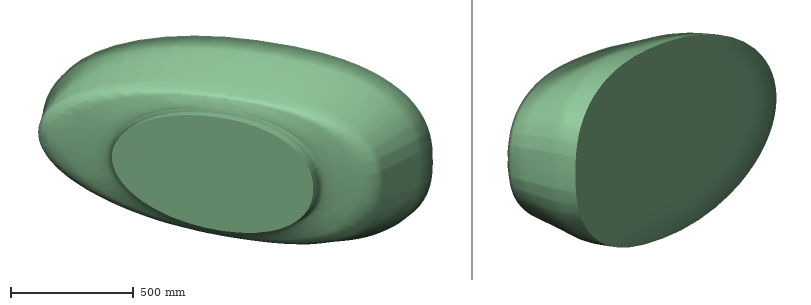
import cadquery as cq
import math

height = 480.0

rim_length = 1688.87
rim_width = 818.8
rim_widest_from_left = 950.0
rim_left = -rim_length / 2
rim_right = rim_length / 2
rim_widest = rim_left + rim_widest_from_left
rim_right_exponent = 2.5

foot_length = 897.0
foot_width = 498.0
foot_setback = 464.0
foot_widest_from_left = 478.0
foot_left = rim_left + foot_setback
foot_right = foot_left + foot_length
foot_widest = foot_left + foot_widest_from_left
foot_right_exponent = 2.2

points_per_half = 24

wall_stations = [
    (height, 0.0),
    (440.0, 0.9),
    (400.0, 2.5),
    (360.0, 8.5),
    (310.0, 23.0),
    (255.0, 41.5),
    (200.0, 58.5),
    (155.0, 71.5),
    (128.0, 80.5),
]

belly_inset = 88.0
belly_stations = [
    (112.0, 0.02),
    (101.0, 0.08),
    (92.0, 0.16),
    (83.0, 0.33),
    (75.0, 0.61),
    (67.0, 0.865),
    (58.0, 0.965),
    (42.0, 0.995),
    (22.0, 1.0),
    (0.0, 1.0),
]


def mix(start, end, share):
    """Value lying the given share of the way from start to end."""
    return start + (end - start) * share


def outline(y, inset, share):
    """Closed egg outline at Y = y: the inset rim outline moved part way to the foot outline."""
    left = mix(rim_left + inset, foot_left, share)
    right = mix(rim_right - inset, foot_right, share)
    widest = mix(rim_widest, foot_widest, share)
    half_width = mix(rim_width / 2 - inset, foot_width / 2, share)
    power = 2 / mix(rim_right_exponent, foot_right_exponent, share)

    points = []
    for i in range(2 * points_per_half):
        angle = math.pi * (i + points_per_half) / points_per_half
        across = math.cos(angle)
        up = math.sin(angle)
        if across < 0:
            x = widest + (widest - left) * across
            z = half_width * up
        else:
            x = widest + (right - widest) * across ** power
            z = half_width * math.copysign(abs(up) ** power, up)
        points.append(cq.Vector(x, y, z))
    return cq.Wire.assembleEdges([cq.Edge.makeSpline(points, periodic=True)])


def bath_body():
    """Smooth skin through the outlines from the rim down to the foot, closed by flat ends."""
    sections = [outline(y, inset, 0.0) for y, inset in wall_stations]
    sections += [outline(y, belly_inset, share) for y, share in belly_stations]
    return cq.Solid.makeLoft(sections)


result = cq.Workplane("XY").newObject([bath_body()])